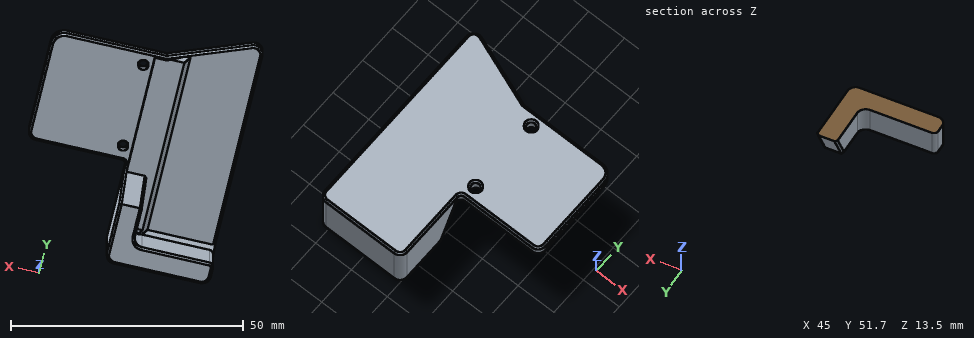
import cadquery as cq
import math

ARM_WIDTH = 23.0
TOTAL_WIDTH = 45.0
WING_FRONT_Y = 20.0
WING_BACK_Y = 45.0
TOTAL_LENGTH = 51.74
SLANT_END_X = 20.0
TOTAL_HEIGHT = 13.5
PLATE_THICKNESS = 3.0
EDGE_CHAMFER = 0.5
CORNER_RADIUS = 2.0
WING_BACK_RADIUS = 3.0
INNER_CORNER_RADIUS = 1.0

WALL_THICKNESS = 5.0
WALL_END_RADIUS = 1.0
WALL_INNER_RADIUS = 2.0
SLOPE_FOOT_Y = 13.6

STEP_DEPTH = 1.1
STEP_BASE_X = 15.0
STEP_BASE_BACK_Y = 45.95
WEB_SIZE = 1.0

HOLE_DIAMETER = 2.2
COUNTERSINK_DIAMETER = 3.2
HOLE_X = 24.5
HOLE_YS = (23.25, 42.0)

PLATE_BOTTOM = TOTAL_HEIGHT - PLATE_THICKNESS
STEP_BOTTOM = PLATE_BOTTOM - STEP_DEPTH
WALL_TOP = TOTAL_HEIGHT - EDGE_CHAMFER
WALL_INNER_X = ARM_WIDTH - WALL_THICKNESS
SLANT_RUN = SLANT_END_X - CORNER_RADIUS
CENTRE_RISE = TOTAL_LENGTH - CORNER_RADIUS - WING_BACK_Y
SLANT_ANGLE = math.atan2(CENTRE_RISE, SLANT_RUN) + math.asin(
    CORNER_RADIUS / math.hypot(CENTRE_RISE, SLANT_RUN)
)
SLANT_CORNER_Y = WING_BACK_Y + SLANT_END_X * math.tan(SLANT_ANGLE)


def round_corner(solid, x, y, radius):
    """Round the vertical edge standing at (x, y)."""
    nearest = cq.selectors.NearestToPointSelector((x, y, solid.val().Center().z))
    return solid.edges("|Z").edges(nearest).fillet(radius)


def plate_blank():
    """Plate with rounded corners and sharp top and bottom edges."""
    outline = [
        (0, 0),
        (ARM_WIDTH, 0),
        (ARM_WIDTH, WING_FRONT_Y),
        (TOTAL_WIDTH, WING_FRONT_Y),
        (TOTAL_WIDTH, WING_BACK_Y),
        (SLANT_END_X, WING_BACK_Y),
        (0, SLANT_CORNER_Y),
    ]
    plate = cq.Workplane("XY").workplane(offset=PLATE_BOTTOM).polyline(outline).close()
    plate = plate.extrude(PLATE_THICKNESS)
    for x, y in ((0, 0), (ARM_WIDTH, 0), (TOTAL_WIDTH, WING_FRONT_Y), (0, SLANT_CORNER_Y)):
        plate = round_corner(plate, x, y, CORNER_RADIUS)
    plate = round_corner(plate, TOTAL_WIDTH, WING_BACK_Y, WING_BACK_RADIUS)
    return round_corner(plate, ARM_WIDTH, WING_FRONT_Y, INNER_CORNER_RADIUS)


def make_plate():
    return plate_blank().faces("<Z or >Z").chamfer(EDGE_CHAMFER)


def make_walls():
    """Front and side walls, chamfered around the foot and along the sloped end."""
    outline = [
        (0, 0),
        (ARM_WIDTH, 0),
        (ARM_WIDTH, WING_FRONT_Y),
        (WALL_INNER_X, WING_FRONT_Y),
        (WALL_INNER_X, WALL_THICKNESS),
        (0, WALL_THICKNESS),
    ]
    walls = cq.Workplane("XY").polyline(outline).close().extrude(TOTAL_HEIGHT)
    for x in (0, ARM_WIDTH):
        walls = round_corner(walls, x, 0, CORNER_RADIUS)
    walls = round_corner(walls, 0, WALL_THICKNESS, WALL_END_RADIUS)
    walls = round_corner(walls, WALL_INNER_X, WALL_THICKNESS, WALL_INNER_RADIUS)
    behind_slope = [
        (SLOPE_FOOT_Y, 0),
        (WING_FRONT_Y, TOTAL_HEIGHT),
        (WING_FRONT_Y, 0),
    ]
    walls = walls.cut(cq.Workplane("YZ").polyline(behind_slope).close().extrude(ARM_WIDTH))
    slope_normal = cq.Vector(0, TOTAL_HEIGHT, SLOPE_FOOT_Y - WING_FRONT_Y)
    slope_face = cq.selectors.ParallelDirSelector(slope_normal)
    foot_face = cq.selectors.DirectionMinMaxSelector(cq.Vector(0, 0, 1), False)
    side_wall_middle = (WALL_INNER_X + ARM_WIDTH) / 2
    sharp_edge = cq.selectors.NearestToPointSelector((side_wall_middle, SLOPE_FOOT_Y, 0))
    walls = walls.faces(slope_face + foot_face).edges(-sharp_edge).chamfer(EDGE_CHAMFER)
    below_rim = cq.Workplane("XY").box(ARM_WIDTH, WING_FRONT_Y, WALL_TOP, centered=False)
    return walls.intersect(below_rim)


def make_front_web():
    """45 degree web between the front wall and the plate, out to the left side."""
    wall_y = WALL_THICKNESS - WALL_END_RADIUS
    top_z = PLATE_BOTTOM + EDGE_CHAMFER
    diagonal = WALL_THICKNESS + WEB_SIZE - PLATE_BOTTOM
    profile = [
        (wall_y, top_z),
        (diagonal + top_z, top_z),
        (wall_y, wall_y - diagonal),
    ]
    return cq.Workplane("YZ").polyline(profile).close().extrude(WALL_INNER_X)


def make_step():
    """Step with 45 degree left and back sides and a web down to the front wall."""
    web_y = WALL_THICKNESS + WEB_SIZE
    profile = [
        (WALL_THICKNESS, PLATE_BOTTOM),
        (STEP_BASE_BACK_Y, PLATE_BOTTOM),
        (STEP_BASE_BACK_Y - STEP_DEPTH, STEP_BOTTOM),
        (web_y, STEP_BOTTOM),
        (WALL_THICKNESS, STEP_BOTTOM - WEB_SIZE),
    ]
    step = cq.Workplane("YZ").workplane(offset=STEP_BASE_X).polyline(profile).close()
    step = step.extrude(ARM_WIDTH - EDGE_CHAMFER - STEP_BASE_X)
    full_depth = STEP_DEPTH + WEB_SIZE
    left_of_step = [
        (STEP_BASE_X, PLATE_BOTTOM),
        (STEP_BASE_X, PLATE_BOTTOM - full_depth),
        (STEP_BASE_X + full_depth, PLATE_BOTTOM - full_depth),
    ]
    left_cut = cq.Workplane("XZ").polyline(left_of_step).close().extrude(-TOTAL_LENGTH)
    underside = plate_blank().faces("<Z").wires().toPending().offset2D(-EDGE_CHAMFER)
    return step.cut(left_cut).intersect(underside.extrude(-TOTAL_HEIGHT, combine=False))


def make_holes():
    """Screw holes with 45 degree countersinks from the top."""
    radius = HOLE_DIAMETER / 2
    sink_radius = COUNTERSINK_DIAMETER / 2
    profile = [
        (0, PLATE_BOTTOM),
        (radius, PLATE_BOTTOM),
        (radius, TOTAL_HEIGHT - (sink_radius - radius)),
        (sink_radius, TOTAL_HEIGHT),
        (0, TOTAL_HEIGHT),
    ]
    hole = cq.Workplane("XZ").polyline(profile).close().revolve(360, (0, 0), (0, 1))
    first, second = (hole.translate((HOLE_X, y, 0)) for y in HOLE_YS)
    return first.union(second)


result = make_plate().union(make_walls())
result = result.union(make_front_web()).union(make_step())
result = result.cut(make_holes())